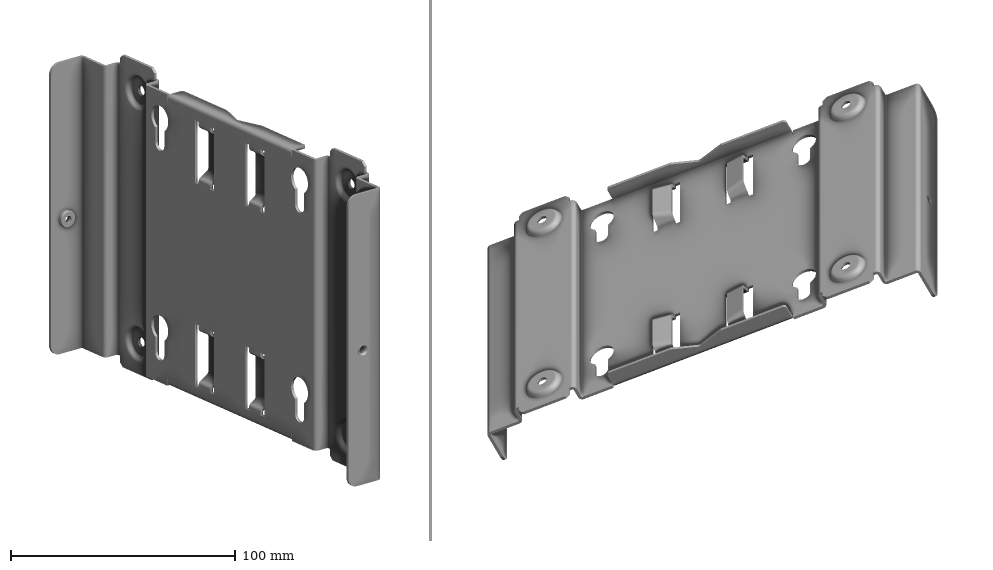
import cadquery as cq
import math

thickness = 1.4
inner_bend = 0.6
outer_bend = inner_bend + thickness
sheet_width = 213.8
sheet_height = 139.0
overall_depth = 28.5
wall_corner_radius = 5.0

channel_inner = 59.8
channel_outer = 90.5
channel_rise = 7.0

channel_x = 75.0
tab_width = 24.6
tab_length = 5.0
tab_chamfer = 2.0

jog_angle = math.radians(60)
jog_radius = 2.0

dimple_z = 60.0
dimple_diameter = 18.2
dimple_depth = 2.4
dimple_floor_radius = 0.6
dimple_hole_diameter = 4.7

lip_width = 88.3
lip_corner_radius = 1.3
lip_notch_width = 24.9
lip_notch_depth = 4.0
relief_width = 0.5
relief_depth = 3.2

keyhole_x = 50.0
keyhole_spacing_z = 100.0
keyhole_middle_z = 6.5
keyhole_diameter = 12.0
keyhole_slot_width = 6.5
keyhole_drop = 12.2

window_x = 18.0
window_spacing_z = 97.0
window_middle_z = -0.5
window_width = 13.7
window_height = 29.8
bridge_width = 8.4
bridge_height = 27.0
bridge_depth = 4.7
bridge_bend_radius = 2.0
bridge_tilt = math.radians(12)

nut_y = -9.5
nut_z = -5.4
nut_flange_diameter = 8.0
nut_flange_thickness = 2.1
nut_shank_diameter = 5.4
nut_flange_chamfer = 0.2
nut_hole_diameter = 3.5
nut_countersink_diameter = 4.7
nut_overhang = 0.5

half_width = sheet_width / 2
half_height = sheet_height / 2
back_reach = channel_rise + thickness
wall_depth = overall_depth - back_reach - dimple_depth


def jog_points(start, depth, end_radius, offset):
    """Points of a sloped step from y = 0 at u = start to y = depth at a smaller u.

    The outline lies `offset` behind the front face. Returns (u, y) for the start, middle and
    end of the first bend, then for the start, middle and end of the second bend.
    """
    radius_sum = jog_radius + end_radius
    slope_height = depth - radius_sum * (1 - math.cos(jog_angle))
    run = radius_sum * math.sin(jog_angle) + slope_height / math.tan(jog_angle)
    first_radius = jog_radius - offset
    second_radius = end_radius + offset
    angles = (0, jog_angle / 2, jog_angle)
    first = [
        (start - first_radius * math.sin(a), jog_radius - first_radius * math.cos(a)) for a in angles
    ]
    second = [
        (start - run + second_radius * math.sin(a), depth - end_radius + second_radius * math.cos(a))
        for a in reversed(angles)
    ]
    return first + second


def mirrored_back(points):
    """The same points on the other side of u = 0, in reverse order."""
    return [(-u, y) for u, y in reversed(points)]


def draw_jog(sketch, points):
    """Draws arc, slope and arc, starting where the sketch stands on the first point."""
    return (
        sketch.threePointArc(points[1], points[2])
        .lineTo(*points[3])
        .threePointArc(points[4], points[5])
    )


def extruded_sheet():
    """One half of the bent profile, extruded along Z, with its bends, then mirrored."""
    front = [
        (half_width - thickness, 0),
        (channel_outer - thickness, 0),
        (channel_outer - thickness, channel_rise),
        (channel_inner + thickness, channel_rise),
        (channel_inner + thickness, 0),
    ]
    back = [
        (half_width, thickness),
        (channel_outer, thickness),
        (channel_outer, back_reach),
        (channel_inner, back_reach),
        (channel_inner, thickness),
    ]
    front_is_inside = [True, False, True, True, False]
    outline = (
        [(half_width - thickness, -wall_depth)] + front + [(0, 0), (0, thickness)]
        + back[::-1] + [(half_width, -wall_depth)]
    )
    half = cq.Workplane("XY").polyline(outline).close().extrude(half_height, both=True)
    for front_corner, back_corner, inside in zip(front, back, front_is_inside):
        front_radius = inner_bend if inside else outer_bend
        back_radius = outer_bend if inside else inner_bend
        for corner, radius in ((front_corner, front_radius), (back_corner, back_radius)):
            edge = cq.selectors.NearestToPointSelector((*corner, 0))
            half = half.edges("|Z").edges(edge).fillet(radius)
    half = half.faces("<Y").edges("|X").fillet(wall_corner_radius)
    return half.union(half.mirror("YZ"))


def channel_tab(x):
    """A plate behind the front face of a channel that reaches past both sheet ends."""
    return (
        cq.Workplane("XY")
        .box(tab_width, thickness, sheet_height + 2 * tab_length)
        .edges("|Y").chamfer(tab_chamfer)
        .translate((x, channel_rise + thickness / 2, 0))
    )


def dimple(x, z):
    """A dished cup that steps back from the channel, with a hole through its floor."""
    front = jog_points(dimple_diameter / 2, dimple_depth, dimple_floor_radius, 0)
    back = jog_points(dimple_diameter / 2, dimple_depth, dimple_floor_radius, thickness)
    hole_radius = dimple_hole_diameter / 2
    sketch = cq.Workplane("XY").moveTo(*front[0])
    sketch = draw_jog(sketch, front)
    sketch = sketch.lineTo(hole_radius, front[-1][1]).lineTo(hole_radius, back[-1][1]).lineTo(*back[-1])
    sketch = draw_jog(sketch, back[::-1])
    cup = sketch.close().revolve(360, (0, 0, 0), (0, 1, 0))
    return cup.translate((x, channel_rise, z))


def lip(side):
    """A lip bent back from the top (side 1) or bottom (side -1) edge, with a V notch."""
    lip_blank = (
        cq.Workplane("YZ")
        .polyline([
            (0, half_height - relief_depth),
            (0, half_height),
            (back_reach, half_height),
            (back_reach, half_height - thickness),
            (thickness, half_height - thickness),
            (thickness, half_height - relief_depth),
        ])
        .close()
        .extrude(lip_width / 2, both=True)
    )
    outer_edge = cq.selectors.NearestToPointSelector((0, 0, half_height))
    inner_edge = cq.selectors.NearestToPointSelector((0, thickness, half_height - thickness))
    lip_blank = lip_blank.edges("|X").edges(outer_edge).fillet(outer_bend)
    lip_blank = lip_blank.edges("|X").edges(inner_edge).fillet(inner_bend)
    lip_blank = lip_blank.faces(">Y").edges("|Z").fillet(lip_corner_radius)
    notch = (
        cq.Workplane("XY")
        .polyline([
            (-lip_notch_width / 2, back_reach),
            (lip_notch_width / 2, back_reach),
            (0, back_reach - lip_notch_depth),
        ])
        .close()
        .extrude(sheet_height)
    )
    lip_blank = lip_blank.cut(notch)
    return lip_blank if side > 0 else lip_blank.mirror("XY")


def lip_clearance(side):
    """The strip of web that a lip and its two end reliefs replace."""
    return (
        cq.Workplane("XY")
        .box(lip_width + 2 * relief_width, 2 * thickness, relief_depth)
        .translate((0, thickness / 2, side * (half_height - relief_depth / 2)))
    )


def through_web(sketch):
    """A cutter through the web from an outline in the XZ plane."""
    return sketch.extrude(2 * thickness, both=True)


def keyhole(x, z):
    """A round opening with a narrower slot below it that has a round end."""
    opening = through_web(cq.Workplane("XZ").center(x, z).circle(keyhole_diameter / 2))
    slot = through_web(
        cq.Workplane("XZ").center(x, z - keyhole_drop / 2).rect(keyhole_slot_width, keyhole_drop)
    )
    slot_end = through_web(cq.Workplane("XZ").center(x, z - keyhole_drop).circle(keyhole_slot_width / 2))
    return opening.union(slot).union(slot_end)


def window(x, z):
    """Two slots beside a bridge, and the gap that the bridge fills again."""
    slots = through_web(cq.Workplane("XZ").center(x, z).rect(window_width, window_height))
    strip = through_web(cq.Workplane("XZ").center(x, z).rect(bridge_width, window_height))
    gap = through_web(cq.Workplane("XZ").center(x, z).rect(bridge_width, bridge_height))
    return slots.cut(strip).union(gap)


def bridge_section(depth):
    """The bridge's cross-section as a closed wire, with u along Z."""
    front = jog_points(bridge_height / 2, depth, bridge_bend_radius, 0)
    back = jog_points(bridge_height / 2, depth, bridge_bend_radius, thickness)
    front_far = mirrored_back(front)
    back_far = mirrored_back(back)
    sketch = cq.Workplane("XY").moveTo(*front[0])
    sketch = draw_jog(sketch, front).lineTo(*front_far[0])
    sketch = draw_jog(sketch, front_far).lineTo(*back_far[-1])
    sketch = draw_jog(sketch, back_far[::-1]).lineTo(*back[-1])
    sketch = draw_jog(sketch, back[::-1]).close()
    return sketch.val()


def bridge(x, z):
    """A strip pressed back from the web, deeper on the edge away from x = 0."""
    slant = math.copysign(math.tan(bridge_tilt), x)
    sections = []
    for edge_x in (-bridge_width / 2, bridge_width / 2):
        wire = bridge_section(bridge_depth + edge_x * slant)
        upright = wire.rotate(cq.Vector(0, 0, 0), cq.Vector(0, 1, 0), -90)
        sections.append(upright.translate(cq.Vector(x + edge_x, 0, z)))
    return cq.Workplane(cq.Solid.makeLoft(sections, True))


def wall_hole():
    """A cutter along X through both side walls for the nut shanks."""
    return (
        cq.Workplane("YZ")
        .center(nut_y, nut_z)
        .circle(nut_shank_diameter / 2)
        .extrude(sheet_width, both=True)
    )


def make_bracket():
    """The bent sheet with all its formed and cut features."""
    body = extruded_sheet()
    for x in (-channel_x, channel_x):
        body = body.union(channel_tab(x))
        for z in (-dimple_z, dimple_z):
            seat = (
                cq.Workplane("XZ", origin=(x, channel_rise + thickness / 2, z))
                .circle(dimple_diameter / 2)
                .extrude(thickness, both=True)
            )
            body = body.cut(seat).union(dimple(x, z))
    for side in (-1, 1):
        body = body.cut(lip_clearance(side)).union(lip(side))
    for x in (-keyhole_x, keyhole_x):
        for z_step in (-keyhole_spacing_z / 2, keyhole_spacing_z / 2):
            body = body.cut(keyhole(x, keyhole_middle_z + z_step))
    for x in (-window_x, window_x):
        for z_step in (-window_spacing_z / 2, window_spacing_z / 2):
            z = window_middle_z + z_step
            body = body.cut(window(x, z)).union(bridge(x, z))
    return body.cut(wall_hole())


def make_nut(side, overhang):
    """A flanged nut in the left (side -1) or right (side 1) wall, with its flange inside."""
    wall_face = half_width - thickness
    inner_end = -nut_flange_thickness
    outer_end = thickness + overhang
    hole_radius = nut_hole_diameter / 2
    countersink_radius = nut_countersink_diameter / 2
    countersink_depth = countersink_radius - hole_radius
    flange_radius = nut_flange_diameter / 2
    shank_radius = nut_shank_diameter / 2
    half_section = [
        (inner_end, hole_radius),
        (inner_end, flange_radius - nut_flange_chamfer),
        (inner_end + nut_flange_chamfer, flange_radius),
        (0, flange_radius),
        (0, shank_radius),
        (outer_end, shank_radius),
        (outer_end, countersink_radius),
        (outer_end - countersink_depth, hole_radius),
    ]
    nut = (
        cq.Workplane("XY")
        .polyline(half_section)
        .close()
        .revolve(360, (0, 0, 0), (1, 0, 0))
        .translate((wall_face, nut_y, nut_z))
    )
    return nut if side > 0 else nut.mirror("YZ")


bracket = make_bracket()
nuts = [make_nut(side, overhang) for side, overhang in ((-1, 0), (1, nut_overhang))]

result = cq.Compound.makeCompound([bracket.val(), *[nut.val() for nut in nuts]])